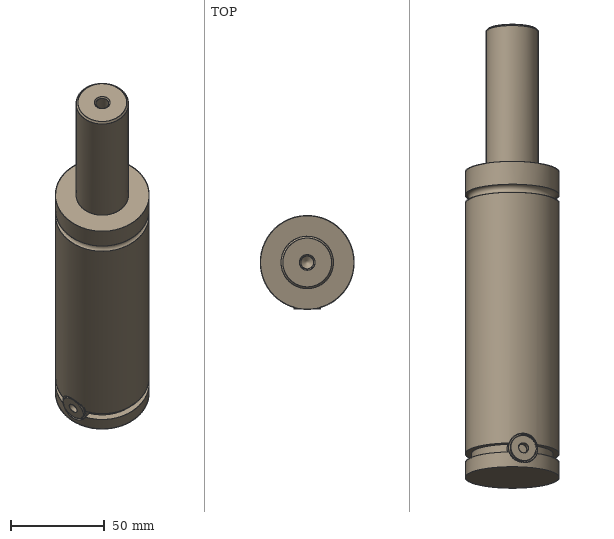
import cadquery as cq
import math

total_height = 245.0
body_radius = 50.0 / 2
body_top = 167.0
rod_radius = 28.0 / 2
rod_chamfer = 1.0

base_groove_bottom = 8.0
base_groove_top = 13.0
base_groove_radius = 21.8

collar_groove_bottom = 150.2
collar_groove_top = 154.5
collar_groove_depth = 2.0

hole_radius = 6.9 / 2
hole_mouth_radius = 4.2
hole_depth = 12.2
drill_tip_angle = 118.0

plug_height = 10.5
plug_radius = 16.0 / 2
plug_face_radius = 14.0 / 2
plug_face_offset = 24.7
plug_flange_offset = 23.5
plug_seat_offset = 17.2
socket_radius = 5.5 / 2
socket_depth = 3.7


def make_body():
    """Revolve the stepped and grooved outline about Z."""
    collar_groove_middle = (collar_groove_bottom + collar_groove_top) / 2
    outline = (
        cq.Workplane("XZ")
        .lineTo(body_radius, 0)
        .lineTo(body_radius, base_groove_bottom)
        .lineTo(base_groove_radius, base_groove_bottom)
        .lineTo(base_groove_radius, base_groove_top)
        .lineTo(body_radius, base_groove_top)
        .lineTo(body_radius, collar_groove_bottom)
        .threePointArc(
            (body_radius - collar_groove_depth, collar_groove_middle),
            (body_radius, collar_groove_top),
        )
        .lineTo(body_radius, body_top)
        .lineTo(rod_radius, body_top)
        .lineTo(rod_radius, total_height - rod_chamfer)
        .lineTo(rod_radius - rod_chamfer, total_height)
        .lineTo(0, total_height)
        .close()
    )
    return outline.revolve(360, (0, 0), (0, 1))


def make_rod_hole():
    """Countersunk blind hole with a conical drill tip."""
    countersink_depth = hole_mouth_radius - hole_radius
    tip_length = hole_radius / math.tan(math.radians(drill_tip_angle / 2))
    outline = (
        cq.Workplane("XZ")
        .moveTo(0, total_height)
        .lineTo(hole_mouth_radius, total_height)
        .lineTo(hole_radius, total_height - countersink_depth)
        .lineTo(hole_radius, total_height - hole_depth)
        .lineTo(0, total_height - hole_depth - tip_length)
        .close()
    )
    return outline.revolve(360, (0, 0), (0, 1))


def plug_plane(offset):
    """Workplane facing -Y on the plug axis, at the given distance from the body axis."""
    return cq.Workplane("XZ", origin=(0, -offset, plug_height))


def make_plug_pocket():
    """Round clearance from the plug seat out past the body surface."""
    return plug_plane(plug_seat_offset).circle(plug_radius).extrude(body_radius - plug_seat_offset)


def make_plug():
    """Stepped round plug with a round socket."""
    flange = plug_plane(plug_seat_offset).circle(plug_radius).extrude(plug_flange_offset - plug_seat_offset)
    face_step = (
        plug_plane(plug_flange_offset)
        .circle(plug_face_radius)
        .extrude(plug_face_offset - plug_flange_offset)
    )
    plug = flange.union(face_step)
    socket = plug_plane(plug_face_offset).circle(socket_radius).extrude(-socket_depth)
    return plug.cut(socket)


result = make_body().cut(make_rod_hole()).cut(make_plug_pocket()).union(make_plug())